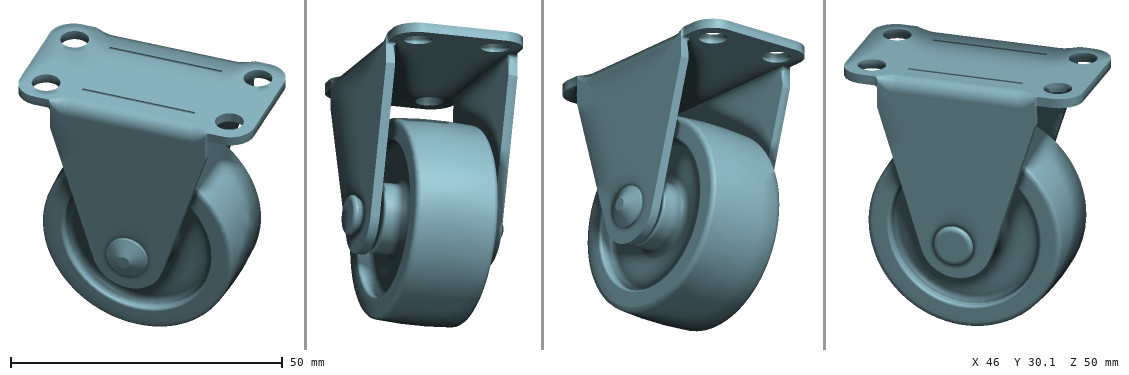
import cadquery as cq
import math


plate_length = 46.0
plate_width = 25.0
plate_corner_radius = 4.6
plate_top = 31.0
sheet_thickness = 1.8
mount_hole_diameter = 5.3
mount_hole_spacing_x = 36.0
mount_hole_spacing_y = 15.0
groove_length = 22.1
groove_width = 0.65
groove_spacing = 14.35
groove_depth = 0.25
leg_outer_y = 12.85
leg_half_width = 15.25
leg_taper_start = 25.15
leg_end_radius = 7.0
leg_flare_radius = 0.55
inner_edge_round = 0.65
inner_edge_round_end = 0.05
inner_edge_round_length = 2.6
neck_radius = 0.7
bend_radius = 2.55
bend_end_radius = 0.55
bend_full_half_length = 12.25
bend_half_length = 15.6
bend_end_sections = 5

tread_crown_radius = 19.0
tread_edge_radius = 18.6
tread_round = 0.9
tread_half_width = 8.05
rim_radius = 14.5
rim_lip_round = 0.5
rim_floor_round = 1.0
web_half_width = 5.0
hub_radius = 6.6
hub_half_width = 10.0
hub_edge_round = 0.5
hub_base_round = 1.25

axle_radius = 3.0
front_head_radius = 4.0
front_head_rim = 0.55
front_tip_radius = 1.2
front_tip_y = -15.1
rear_head_radius = 3.75
rear_head_round = 0.85
rear_tip_y = 15.0

plate_bottom = plate_top - sheet_thickness
leg_inner_y = leg_outer_y - sheet_thickness
COS45 = math.cos(math.radians(45))


def plan_outline():
    """Plate outline with a slight step out to each leg, as a block as tall as the bracket."""
    height = plate_top + leg_end_radius
    plate = (
        cq.Workplane("XY").rect(plate_length, plate_width).extrude(height)
        .edges("|Z").fillet(plate_corner_radius)
    )
    edge_y = plate_width / 2
    step = leg_outer_y - edge_y
    neck_end = leg_half_width
    neck_start = neck_end + math.sqrt(neck_radius**2 - (neck_radius - step)**2)
    half_angle = math.acos(1 - step / neck_radius) / 2
    mid_x = neck_start - neck_radius * math.sin(half_angle)
    mid_y = edge_y + neck_radius * (1 - math.cos(half_angle))
    necks = (
        cq.Workplane("XY").moveTo(-neck_start, edge_y)
        .threePointArc((-mid_x, mid_y), (-neck_end, leg_outer_y))
        .lineTo(neck_end, leg_outer_y)
        .threePointArc((mid_x, mid_y), (neck_start, edge_y))
        .lineTo(neck_start, 0).lineTo(-neck_start, 0).close()
        .extrude(height)
    )
    outline = plate.union(necks).union(necks.mirror("XZ"))
    return outline.translate((0, 0, -leg_end_radius))


def legs():
    """Both tapered legs, each ending in an arc tangent to its sides."""
    corner_distance = math.hypot(leg_half_width, leg_taper_start)
    tangent_angle = math.atan2(leg_taper_start, leg_half_width) - math.acos(leg_end_radius / corner_distance)
    tangent_x = leg_end_radius * math.cos(tangent_angle)
    tangent_z = leg_end_radius * math.sin(tangent_angle)
    flare_x = leg_half_width + leg_flare_radius
    flare_z = plate_bottom - leg_flare_radius
    flare_mid_x = flare_x - leg_flare_radius * COS45
    flare_mid_z = flare_z + leg_flare_radius * COS45
    leg = (
        cq.Workplane("XZ", origin=(0, leg_outer_y, 0)).moveTo(flare_x, plate_bottom)
        .threePointArc((flare_mid_x, flare_mid_z), (leg_half_width, flare_z))
        .lineTo(leg_half_width, leg_taper_start)
        .lineTo(tangent_x, tangent_z)
        .threePointArc((0, -leg_end_radius), (-tangent_x, tangent_z))
        .lineTo(-leg_half_width, leg_taper_start)
        .lineTo(-leg_half_width, flare_z)
        .threePointArc((-flare_mid_x, flare_mid_z), (-flare_x, plate_bottom))
        .close().extrude(sheet_thickness)
    )
    return leg.union(leg.mirror("XZ"))


def inner_edge_section(z, radius):
    """Outline of the corner that a round of this radius removes from an inner leg edge, at height z."""
    centre_x = leg_half_width - radius
    centre_y = leg_inner_y + radius
    return (
        cq.Workplane("XY", origin=(0, 0, z)).moveTo(leg_half_width, leg_inner_y)
        .lineTo(centre_x, leg_inner_y)
        .threePointArc((centre_x + radius * COS45, centre_y - radius * COS45), (leg_half_width, centre_y))
        .close().val()
    )


def inner_edge_cutters():
    """Fading rounds on the four inner vertical edges of the legs."""
    top_z = plate_bottom - leg_flare_radius
    bottom_z = top_z - inner_edge_round_length
    sections = [
        inner_edge_section(bottom_z, inner_edge_round_end),
        inner_edge_section(top_z, inner_edge_round),
    ]
    cutter = cq.Workplane(obj=cq.Solid.makeLoft(sections, True))
    pair = cutter.union(cutter.mirror("YZ"))
    return pair.union(pair.mirror("XZ"))


def bend_section(x, radius):
    """Outline of the corner that a bend of this radius leaves free, at station x."""
    centre_y = leg_outer_y - radius
    centre_z = plate_top - radius
    return (
        cq.Workplane("YZ", origin=(x, 0, 0)).moveTo(leg_outer_y, plate_top)
        .lineTo(centre_y, plate_top)
        .threePointArc((centre_y + radius * COS45, centre_z + radius * COS45), (leg_outer_y, centre_z))
        .close()
    )


def bend_cutter():
    """Material outside the +Y bend: a constant radius, sharpening towards both ends."""
    middle = bend_section(-bend_full_half_length, bend_radius).extrude(2 * bend_full_half_length)
    sections = []
    for i in range(bend_end_sections):
        t = i / (bend_end_sections - 1)
        x = bend_full_half_length + t * (bend_half_length - bend_full_half_length)
        radius = bend_radius - (bend_radius - bend_end_radius) * t**1.5
        sections.append(bend_section(x, radius).val())
    end = cq.Workplane(obj=cq.Solid.makeLoft(sections))
    return middle.union(end).union(end.mirror("YZ"))


def make_bracket():
    """Plate and legs trimmed to the common outline, then rounded, drilled and grooved."""
    outline = plan_outline()
    plate_layer = (
        cq.Workplane("XY", origin=(0, 0, plate_bottom))
        .rect(2 * plate_length, 2 * plate_width).extrude(sheet_thickness)
    )
    bracket = outline.intersect(plate_layer.union(legs()))
    cutter = bend_cutter()
    bracket = bracket.cut(cutter).cut(cutter.mirror("XZ")).cut(inner_edge_cutters())
    mount_holes = (
        cq.Workplane("XY", origin=(0, 0, plate_bottom))
        .rarray(mount_hole_spacing_x, mount_hole_spacing_y, 2, 2)
        .circle(mount_hole_diameter / 2).extrude(sheet_thickness)
    )
    grooves = (
        cq.Workplane("XY", origin=(0, 0, plate_top - groove_depth))
        .rarray(0.5, groove_spacing, 1, 2)
        .rect(groove_length, groove_width).extrude(groove_depth)
    )
    axle_hole = cq.Workplane("XZ").circle(axle_radius).extrude(leg_outer_y, both=True)
    return bracket.cut(mount_holes).cut(grooves).cut(axle_hole)


def revolve_about_y(profile):
    """Close a profile drawn as (radius, y) points and turn it around the wheel axis."""
    return profile.close().revolve(360, (0, 0, 0), (0, 1, 0))


def cylinder_about_y(radius, half_width):
    return cq.Workplane("XZ").circle(radius).extrude(half_width, both=True)


def side_recess():
    """Ring-shaped recess around the hub in the -Y side, with both floor edges rounded."""
    ring = (
        cq.Workplane("XZ", origin=(0, -web_half_width, 0))
        .circle(rim_radius).circle(hub_radius).extrude(tread_half_width - web_half_width)
    )
    ring = ring.faces(">Y").edges(cq.selectors.RadiusNthSelector(-1)).fillet(rim_floor_round)
    return ring.faces(">Y").edges(cq.selectors.RadiusNthSelector(0)).fillet(hub_base_round)


def make_wheel():
    """Crowned tread with a recess in each side and a hub that stands out of both recesses."""
    tread = revolve_about_y(
        cq.Workplane("XY").moveTo(0, -tread_half_width)
        .lineTo(tread_edge_radius, -tread_half_width)
        .threePointArc((tread_crown_radius, 0), (tread_edge_radius, tread_half_width))
        .lineTo(0, tread_half_width)
    )
    recess = side_recess()
    tread = tread.cut(recess).cut(recess.mirror("XZ"))
    for side in ("<Y", ">Y"):
        tread = tread.faces(side).edges(cq.selectors.RadiusNthSelector(-2)).fillet(rim_lip_round)
        tread = tread.faces(side).edges(cq.selectors.RadiusNthSelector(-1)).fillet(tread_round)
    hub = cylinder_about_y(hub_radius, hub_half_width).faces("<Y or >Y").edges().fillet(hub_edge_round)
    return tread.union(hub).cut(cylinder_about_y(axle_radius, hub_half_width))


def make_axle():
    """Shaft with a conical head outside the -Y leg and a riveted head outside the +Y leg."""
    rim_y = -leg_outer_y - front_head_rim
    round_start_y = rear_tip_y - rear_head_round
    round_centre_radius = rear_head_radius - rear_head_round
    return revolve_about_y(
        cq.Workplane("XY").moveTo(0, front_tip_y)
        .lineTo(front_tip_radius, front_tip_y)
        .lineTo(front_head_radius, rim_y)
        .lineTo(front_head_radius, -leg_outer_y)
        .lineTo(axle_radius, -leg_outer_y)
        .lineTo(axle_radius, leg_outer_y)
        .lineTo(rear_head_radius, round_start_y)
        .threePointArc(
            (round_centre_radius + rear_head_round * COS45, round_start_y + rear_head_round * COS45),
            (round_centre_radius, rear_tip_y),
        )
        .lineTo(0, rear_tip_y)
    )


bracket = make_bracket()
wheel = make_wheel()
axle = make_axle()
result = cq.Compound.makeCompound([bracket.val(), wheel.val(), axle.val()])